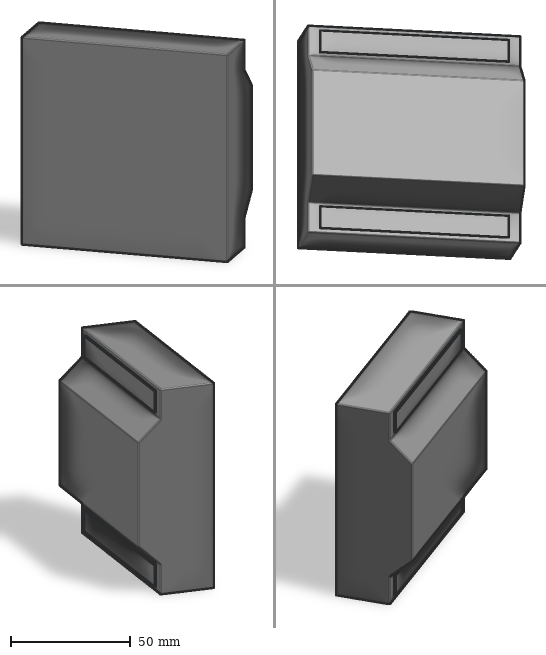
import cadquery as cq

SIDE = 90.2
TOTAL_DEPTH = 34.2
BODY_DEPTH = 24.2
HUMP_BASE_HEIGHT = 63.9
HUMP_CREST_HEIGHT = 45.7
EDGE_RADIUS = 0.5
PAD_WIDTH = 79.9
PAD_HEIGHT = 9.4
PAD_THICKNESS = 0.7
PAD_MARGIN = 2.2


def make_housing():
    """Square body with a full-width trapezoidal hump on its back, all edges rounded."""
    half_side = SIDE / 2
    half_base = HUMP_BASE_HEIGHT / 2
    half_crest = HUMP_CREST_HEIGHT / 2
    profile = [
        (0, -half_side),
        (BODY_DEPTH, -half_side),
        (BODY_DEPTH, -half_base),
        (TOTAL_DEPTH, -half_crest),
        (TOTAL_DEPTH, half_crest),
        (BODY_DEPTH, half_base),
        (BODY_DEPTH, half_side),
        (0, half_side),
    ]
    housing = cq.Workplane("YZ").polyline(profile).close().extrude(half_side, both=True)
    return housing.edges().fillet(EDGE_RADIUS)


def make_pad(direction):
    """Thin pad on the back of the body, above (+1) or below (-1) the hump."""
    center_z = direction * (SIDE / 2 - PAD_MARGIN - PAD_HEIGHT / 2)
    pad = cq.Workplane("XY").box(PAD_WIDTH, 2 * PAD_THICKNESS, PAD_HEIGHT)
    return pad.translate((0, BODY_DEPTH, center_z))


result = make_housing()
for direction in (1, -1):
    result = result.union(make_pad(direction))